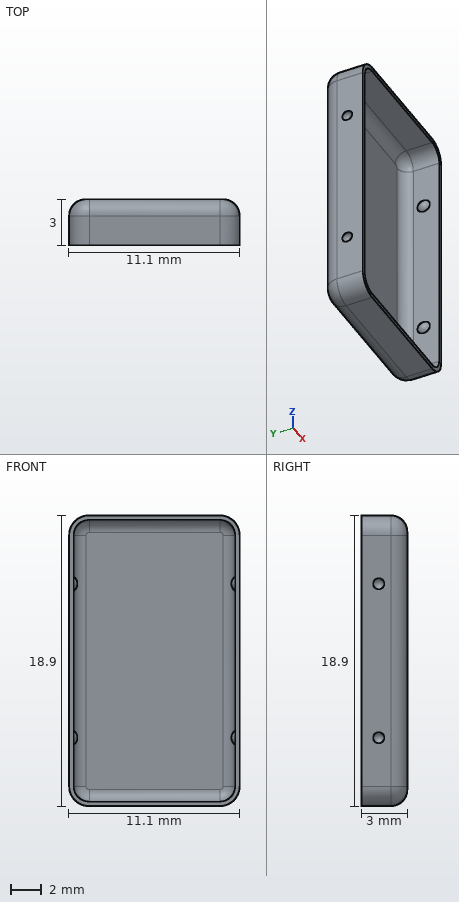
import cadquery as cq

width = 11.1
depth = 3.0
height = 18.9
corner_radius = 1.3
back_edge_radius = 1.1

wall = 0.3
floor_thickness = 0.3
cavity_corner_radius = corner_radius - wall
cavity_edge_radius = back_edge_radius - wall

dent_radius = 0.35
dome_radius = 0.55
dimple_spacing = 10.0
dimple_from_rim = 1.13


def rounded_block(size_x, size_y, size_z, vertical_radius, back_radius):
    """Block with its rim at Y = 0, rounded corners along Y and a rounded back edge."""
    block = cq.Workplane("XY").box(size_x, size_y, size_z, centered=(True, False, True))
    return block.edges("|Y").fillet(vertical_radius).faces(">Y").edges().fillet(back_radius)


outer = rounded_block(width, depth, height, corner_radius, back_edge_radius)
cavity = rounded_block(
    width - 2 * wall,
    depth - floor_thickness,
    height - 2 * wall,
    cavity_corner_radius,
    cavity_edge_radius,
)

dimple_centers = [
    (side_x * width / 2, dimple_from_rim, side_z * dimple_spacing / 2)
    for side_x in (-1, 1)
    for side_z in (-1, 1)
]


def dimple_spheres(radius):
    """Spheres centered on the outer faces of the side walls, one per dimple."""
    ball = cq.Workplane("XY").sphere(radius).rotate((0, 0, 0), (0, 1, 0), 90)
    return cq.Workplane("XY").pushPoints(dimple_centers).eachpoint(ball.val())


domes = dimple_spheres(dome_radius).intersect(outer)
dents = dimple_spheres(dent_radius)

result = outer.cut(cavity).union(domes).cut(dents)